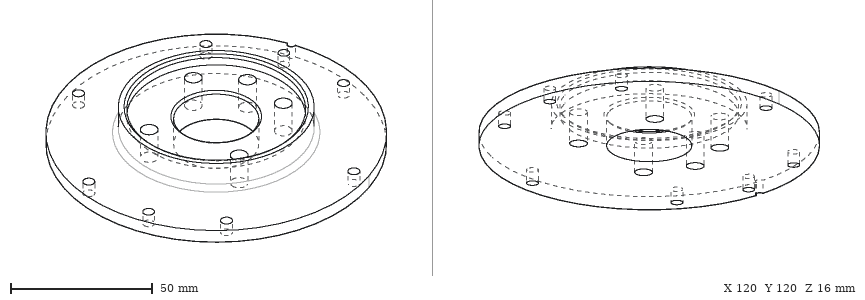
import cadquery as cq

flange_diameter = 120.0
flange_thickness = 5.0

total_height = 16.0
hub_diameter = 69.0
hub_fillet_radius = 2.0

recess_diameter = 63.0
recess_depth = 4.1
bore_diameter = 30.0
chamfer_size = 1.0
recess_floor = total_height - recess_depth

flange_hole_circle_radius = 54.0
flange_screw_hole_diameter = 4.2
flange_screw_hole_angles = [0, 60, 120, 180, 240, 300]
flange_dowel_hole_diameter = 4.1
flange_dowel_hole_angles = [90, 270]

hub_hole_circle_radius = 25.0
hub_hole_diameter = 6.2
hub_hole_angles = [45, 90, 135, 225, 315]

notch_radius = 1.5


def make_blank():
    """Flange and hub as one solid, with a fillet where the hub rises from the flange."""
    flange = cq.Workplane("XY").circle(flange_diameter / 2).extrude(flange_thickness)
    hub = cq.Workplane("XY").circle(hub_diameter / 2).extrude(total_height)
    blank = flange.union(hub)
    hub_foot = blank.edges(cq.selectors.RadiusNthSelector(0)).edges("<Z")
    return hub_foot.fillet(hub_fillet_radius)


def chamfered_cutter(diameter, bottom, top):
    """Cylinder that widens at its top end, to cut a hole with a chamfered upper edge."""
    radius = diameter / 2
    wide_radius = radius + chamfer_size
    return (
        cq.Workplane("XZ")
        .moveTo(0, bottom)
        .lineTo(radius, bottom)
        .lineTo(radius, top - chamfer_size)
        .lineTo(wide_radius, top)
        .lineTo(0, top)
        .close()
        .revolve(360, (0, 0, 0), (0, 1, 0))
    )


def drill_through(body, circle_radius, diameter, angles):
    """Cut a vertical through hole at each angle on a circle about the Z axis."""
    for angle in angles:
        drill = (
            cq.Workplane("XY")
            .transformed(rotate=(0, 0, angle))
            .center(circle_radius, 0)
            .circle(diameter / 2)
            .extrude(total_height)
        )
        body = body.cut(drill)
    return body


def cut_rim_notch(body):
    """Cut the round notch through the full thickness of the rim."""
    cutter = (
        cq.Workplane("XY")
        .center(0, flange_diameter / 2)
        .circle(notch_radius)
        .extrude(flange_thickness)
    )
    return body.cut(cutter)


def make_flanged_hub():
    body = make_blank()
    body = body.cut(chamfered_cutter(recess_diameter, recess_floor, total_height))
    body = body.cut(chamfered_cutter(bore_diameter, 0, recess_floor))
    body = drill_through(
        body, flange_hole_circle_radius, flange_screw_hole_diameter, flange_screw_hole_angles
    )
    body = drill_through(
        body, flange_hole_circle_radius, flange_dowel_hole_diameter, flange_dowel_hole_angles
    )
    body = drill_through(body, hub_hole_circle_radius, hub_hole_diameter, hub_hole_angles)
    return cut_rim_notch(body)


flanged_hub = make_flanged_hub()

result = cq.Compound.makeCompound([flanged_hub.val()])